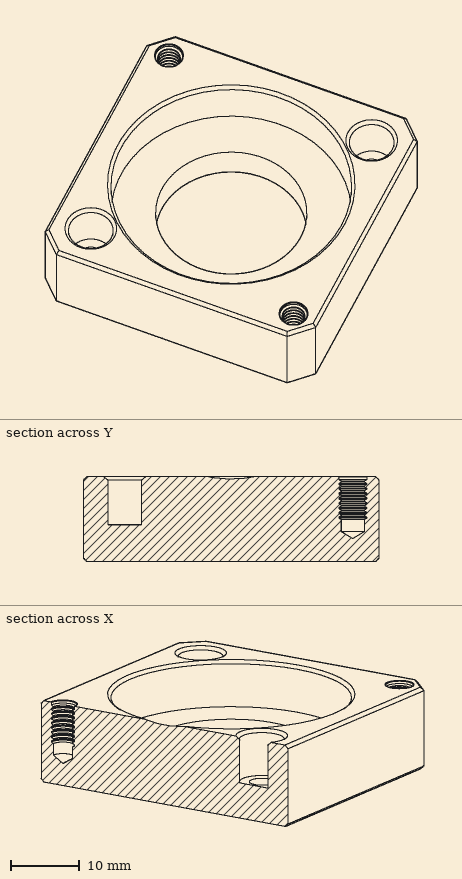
import cadquery as cq
import math

side = 43.0
thickness = 12.4
corner_cut = 3.15
edge_chamfer = 0.5

bore_diameter = 35.0
window_diameter = 22.0
bore_floor_z = 5.4

screw_offset = 15.5
screw_hole_diameter = 3.6
counterbore_diameter = 6.5
counterbore_floor_z = bore_floor_z

tapped_circle_radius = 25.0
tapped_offset = tapped_circle_radius / math.sqrt(2)
thread_pitch = 0.7
thread_minor_diameter = 3.3
thread_major_diameter = 4.0
tapped_mouth_diameter = 4.2
tapped_depth = 8.0
thread_turns = 9
first_root_height = thread_pitch / 2
thread_angle = 60.0
drill_point_angle = 118.0


def make_plate():
    plate = cq.Workplane("XY").box(side, side, thickness, centered=(True, True, False))
    plate = plate.edges("|Z").chamfer(corner_cut)
    return plate.faces("<Z or >Z").edges().chamfer(edge_chamfer)


def disc(diameter, bottom_z, top_z):
    return cq.Workplane("XY").workplane(offset=bottom_z).circle(diameter / 2).extrude(top_z - bottom_z)


def countersink(hole_diameter, mouth_diameter):
    """45 degree cone that widens a hole to the mouth diameter at the top face."""
    hole_radius = hole_diameter / 2
    mouth_radius = mouth_diameter / 2
    bottom_z = thickness - (mouth_radius - hole_radius)
    profile = [(0, bottom_z), (hole_radius, bottom_z), (mouth_radius, thickness), (0, thickness)]
    return cq.Workplane("XZ").polyline(profile).close().revolve(360, (0, 0), (0, 1))


def stepped_hole(diameter, floor_z, through_diameter):
    """Hole with a chamfered mouth and a smaller hole through its floor."""
    hole = disc(diameter, floor_z, thickness)
    hole = hole.union(disc(through_diameter, 0, thickness))
    return hole.union(countersink(diameter, diameter + 2 * edge_chamfer))


def tapped_hole():
    """Blind hole with a conical drill point and its thread simplified to ring grooves."""
    minor_radius = thread_minor_diameter / 2
    major_radius = thread_major_diameter / 2
    mouth_radius = tapped_mouth_diameter / 2
    floor_z = thickness - tapped_depth
    tip_z = floor_z - minor_radius / math.tan(math.radians(drill_point_angle / 2))
    flank_height = (major_radius - minor_radius) * math.tan(math.radians(thread_angle / 2))
    crest_flat = thread_pitch / 4

    groove_top_z = thickness - (mouth_radius - major_radius)
    profile = [(0, thickness), (mouth_radius, thickness), (major_radius, groove_top_z)]
    for turn in range(thread_turns):
        root_end_z = groove_top_z - first_root_height - turn * thread_pitch
        crest_top_z = root_end_z - flank_height
        crest_end_z = crest_top_z - crest_flat
        profile.append((major_radius, root_end_z))
        profile.append((minor_radius, crest_top_z))
        if turn < thread_turns - 1:
            profile.append((minor_radius, crest_end_z))
            profile.append((major_radius, crest_end_z - flank_height))
    profile.append((minor_radius, floor_z))
    profile.append((0, tip_z))
    return cq.Workplane("XZ").polyline(profile).close().revolve(360, (0, 0), (0, 1))


result = make_plate()
result = result.cut(stepped_hole(bore_diameter, bore_floor_z, window_diameter))
result = result.faces("<Z").edges("%CIRCLE").chamfer(edge_chamfer)

screw_hole = stepped_hole(counterbore_diameter, counterbore_floor_z, screw_hole_diameter)
for sign in (-1, 1):
    result = result.cut(screw_hole.translate((sign * screw_offset, sign * screw_offset, 0)))

tapped = tapped_hole()
for sign in (-1, 1):
    position = (sign * tapped_offset, -sign * tapped_offset, 0)
    result = result.cut(tapped.translate(position))